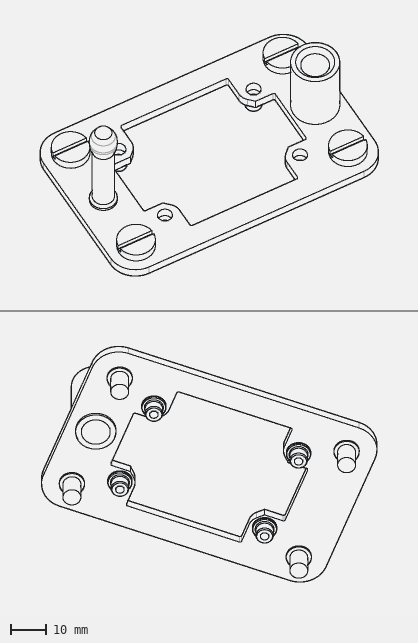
import cadquery as cq
import math

PLATE_X = 55.0
PLATE_Y = 86.0
PLATE_T = 3.0
PLATE_CORNER_R = 8.0

WIDE_X = 41.0
WIDE_Y = 35.0
NARROW_X = 18.8
NARROW_Y = 53.0
WINDOW_CORNER_R = 0.5
LUG_CHAMFER = 2.9
LUG_ANGLE = 45.0
LUG_BLEND_R = 4.0

END_Y = 34.5

SCREW_X = 19.0
HEAD_D = 11.0
HEAD_H = 2.75
SLOT_W = 1.2
SLOT_DEPTH = 1.5
WASHER_D = 7.2
WASHER_T = 0.6
SHANK_D = 5.1
SHANK_BELOW = 7.5

INSERT_X = 13.5
INSERT_Y = 22.0
INSERT_FLANGE_D = 7.0
INSERT_FLANGE_EDGE = 0.4
INSERT_FLANGE_TAPER = 0.15
INSERT_FLANGE_T = 0.85
INSERT_D = 5.0
INSERT_NECK_FLARE = 0.2
INSERT_NECK_Z = 1.4
INSERT_LENGTH = 4.5
INSERT_TIP_RUN = 0.25
INSERT_TIP_H = 0.5
INSERT_HOLE_D = 4.2
INSERT_BORE_D = 2.4

BUSH_D = 14.0
BUSH_H = 20.0
BUSH_BORE_D = 8.2
BUSH_MOUTH_D = 11.1
SPIGOT_D = 11.5
SPIGOT_H = 0.85

PIN_H = 31.0
PIN_D = 6.4
PIN_HEAD_D = 8.0
PIN_COLLAR_H = 0.8
PIN_COLLAR_CONE_H = 0.8
PIN_TIP_D = 4.9
PIN_TIP_H = 1.65
PIN_SHOULDER_D = 6.8
PIN_BAND_TOP = 4.15
PIN_BAND_BOTTOM = 5.0
PIN_HEAD_L = 8.3
ARC_BULGE = 0.2


def cylinder(diameter, z_low, z_high):
    return cq.Workplane("XY").workplane(offset=z_low).circle(diameter / 2).extrude(z_high - z_low)


def revolve_about_z(profile):
    """Turn a closed profile, drawn as (radius, z) in the XZ plane, about the Z axis."""
    return profile.close().revolve(360, (0, 0, 0), (0, 1, 0))


def at_four_corners(solid, x, y):
    placed = cq.Workplane("XY")
    for sign_x in (-1, 1):
        for sign_y in (-1, 1):
            placed = placed.union(solid.translate((sign_x * x, sign_y * y, 0)))
    return placed


def make_lug_trim():
    """Wedge that cuts the lug corner at 45 degrees, blended into the wide edge, in the +X +Y quadrant."""
    corner_x = NARROW_X / 2
    corner_y = WIDE_Y / 2
    turn = math.radians(LUG_ANGLE)
    tangent = LUG_BLEND_R * math.tan(turn / 2)
    meet_x = corner_x + LUG_CHAMFER
    half_run = LUG_BLEND_R * math.sin(turn / 2)
    half_rise = LUG_BLEND_R * (1 - math.cos(turn / 2))
    diagonal_run = tangent * math.cos(turn)
    blend_end_x = meet_x + tangent
    return (
        cq.Workplane("XY")
        .moveTo(corner_x, corner_y)
        .lineTo(corner_x, corner_y + LUG_CHAMFER)
        .lineTo(meet_x - diagonal_run, corner_y + diagonal_run)
        .threePointArc((blend_end_x - half_run, corner_y + half_rise), (blend_end_x, corner_y))
        .close()
        .extrude(PLATE_T)
    )


def make_window():
    wide = cq.Workplane("XY").rect(WIDE_X, WIDE_Y).extrude(PLATE_T)
    narrow = cq.Workplane("XY").rect(NARROW_X, NARROW_Y).extrude(PLATE_T)
    window = wide.edges("|Z").fillet(WINDOW_CORNER_R).union(narrow.edges("|Z").fillet(WINDOW_CORNER_R))
    trim = make_lug_trim()
    trim = trim.union(trim.mirror("YZ"))
    return window.union(trim).union(trim.mirror("XZ"))


def make_plate():
    plate = cq.Workplane("XY").rect(PLATE_X, PLATE_Y).extrude(PLATE_T)
    return plate.edges("|Z").fillet(PLATE_CORNER_R).cut(make_window())


def make_screw():
    head_top = PLATE_T + HEAD_H
    slot = (
        cq.Workplane("XY")
        .workplane(offset=head_top - SLOT_DEPTH)
        .rect(SLOT_W, HEAD_D)
        .extrude(SLOT_DEPTH)
    )
    shank = cylinder(SHANK_D, -SHANK_BELOW, PLATE_T)
    washer = cylinder(WASHER_D, -WASHER_T, PLATE_T)
    return cylinder(HEAD_D, PLATE_T, head_top).cut(slot).union(washer).union(shank)


def make_insert():
    flange_r = INSERT_FLANGE_D / 2
    body_r = INSERT_D / 2
    profile = (
        cq.Workplane("XZ")
        .moveTo(0, 0)
        .lineTo(flange_r, 0)
        .lineTo(flange_r, -INSERT_FLANGE_EDGE)
        .lineTo(flange_r - INSERT_FLANGE_TAPER, -INSERT_FLANGE_T)
        .lineTo(body_r + INSERT_NECK_FLARE, -INSERT_FLANGE_T)
        .lineTo(body_r, -INSERT_NECK_Z)
        .lineTo(body_r, -INSERT_LENGTH + INSERT_TIP_H)
        .lineTo(body_r - INSERT_TIP_RUN, -INSERT_LENGTH)
        .lineTo(0, -INSERT_LENGTH)
    )
    return revolve_about_z(profile)


def make_insert_hole():
    """Straight hole through the plate, then a 45 degree cone down to the insert bore."""
    hole_r = INSERT_HOLE_D / 2
    bore_r = INSERT_BORE_D / 2
    profile = (
        cq.Workplane("XZ")
        .moveTo(0, PLATE_T)
        .lineTo(hole_r, PLATE_T)
        .lineTo(hole_r, 0)
        .lineTo(bore_r, bore_r - hole_r)
        .lineTo(bore_r, -INSERT_LENGTH)
        .lineTo(0, -INSERT_LENGTH)
    )
    return revolve_about_z(profile)


def make_bush():
    return cylinder(BUSH_D, PLATE_T, PLATE_T + BUSH_H).union(cylinder(SPIGOT_D, -SPIGOT_H, PLATE_T))


def make_bush_bore():
    """Through bore with a 45 degree lead-in at the mouth."""
    top = PLATE_T + BUSH_H
    bore_r = BUSH_BORE_D / 2
    mouth_r = BUSH_MOUTH_D / 2
    profile = (
        cq.Workplane("XZ")
        .moveTo(0, top)
        .lineTo(mouth_r, top)
        .lineTo(bore_r, top - (mouth_r - bore_r))
        .lineTo(bore_r, -SPIGOT_H)
        .lineTo(0, -SPIGOT_H)
    )
    return revolve_about_z(profile)


def make_pin():
    tip = PLATE_T + PIN_H
    pin_r = PIN_D / 2
    head_r = PIN_HEAD_D / 2
    shoulder_r = PIN_SHOULDER_D / 2
    collar_top = PLATE_T + PIN_COLLAR_H
    shoulder_z = tip - PIN_TIP_H
    band_top = tip - PIN_BAND_TOP
    band_bottom = tip - PIN_BAND_BOTTOM
    head_bottom = tip - PIN_HEAD_L
    lower_mid = ((pin_r + head_r) / 2 + ARC_BULGE, (head_bottom + band_bottom) / 2)
    upper_mid = ((shoulder_r + head_r) / 2 + ARC_BULGE, (shoulder_z + band_top) / 2)
    profile = (
        cq.Workplane("XZ")
        .moveTo(0, PLATE_T)
        .lineTo(head_r, PLATE_T)
        .lineTo(head_r, collar_top)
        .lineTo(pin_r, collar_top + PIN_COLLAR_CONE_H)
        .lineTo(pin_r, head_bottom)
        .threePointArc(lower_mid, (head_r, band_bottom))
        .lineTo(head_r, band_top)
        .threePointArc(upper_mid, (shoulder_r, shoulder_z))
        .lineTo(PIN_TIP_D / 2, tip)
        .lineTo(0, tip)
    )
    return revolve_about_z(profile)


result = make_plate()
result = result.union(at_four_corners(make_screw(), SCREW_X, END_Y))
result = result.union(at_four_corners(make_insert(), INSERT_X, INSERT_Y))
result = result.cut(at_four_corners(make_insert_hole(), INSERT_X, INSERT_Y))
result = result.union(make_bush().translate((0, END_Y, 0)))
result = result.cut(make_bush_bore().translate((0, END_Y, 0)))
result = result.union(make_pin().translate((0, -END_Y, 0)))